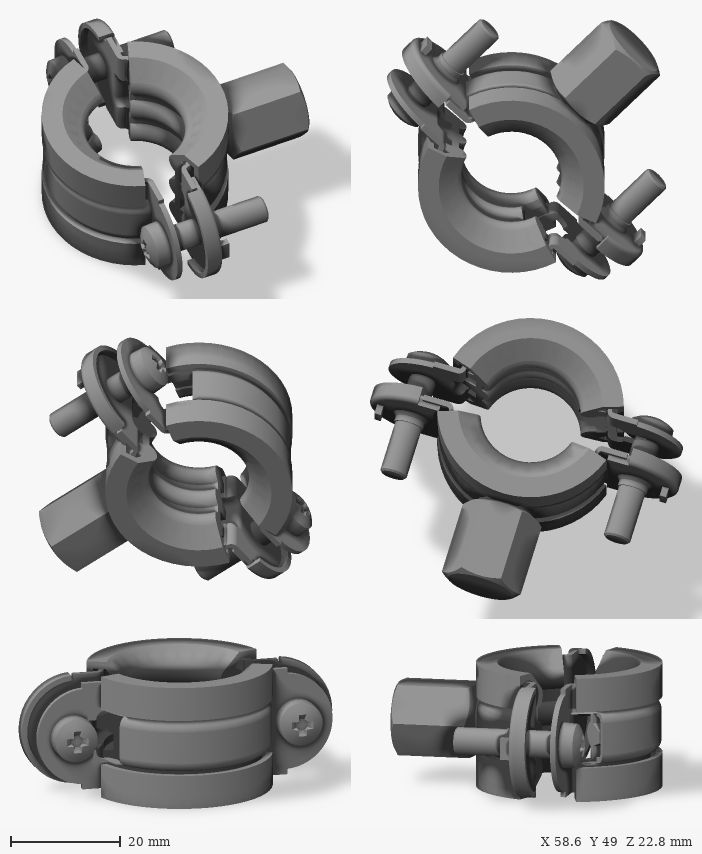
import cadquery as cq
import math


LINER_R = 17.0
LINER_HALF_HEIGHT = 11.42
LIP_R = 9.1
LINER_GROOVE_R = 10.7
LINER_BACK_R = 12.0
MOUTH_R = 13.2
BAND_INNER_R = 15.8
BAND_BOTTOM_Z = 5.2
LIP_START = (9.75, 8.35)
LIP_PEAK_Z = 6.7
LIP_END_Z = 4.5
MIDDLE_LIP_Z = 2.2
BACK_RIB_R = 15.1
BACK_RIB_TIP_Z = 1.1
BACK_RIB_ROOT_Z = 2.1
POCKET_TOP_Z = 10.1
STRAP_POCKET = [(13.85, 7.7), (12.3, 8.7), (13.6, POCKET_TOP_Z)]
UPPER_END_ANGLE = 19.0
LOWER_END_ANGLE = 17.3

SHEET = 1.0
STRAP_R = 14.85
STRAP_HALF_WIDTH = 10.0
BEAD_R = 16.8
BEAD_FLAT_HALF = 2.75
BEAD_HALF_WIDTH = 4.8
EAR_FACE_Y = 2.8
EAR_END_R = 9.0
EAR_ARC_X = 18.86
EAR_SHOULDER_X = 19.36
EAR_START_X = 13.4
EAR_BEND_R = 0.9
BEND_OVERLAP = 0.1
WINDOW_END_ANGLE = 34.0
WINDOW_HALF_WIDTH = 4.6
WINDOW_CORNER_R = 1.7
SCREW_SLOT_WIDTH = 5.8

NUT_FLATS = 13.0
NUT_TOP_Y = 32.0
NUT_BOTTOM_Y = 16.5
NUT_TOP_FACE_R = 6.1
NUT_BOTTOM_FACE_R = 5.0

SCREW_X = 21.25
SCREW_D = 5.0
SCREW_NECK_D = 4.6
SCREW_TIP_Y = 16.3
SCREW_TIP_CHAMFER = 0.35
SCREW_SHOULDER_Y = -2.4
HEAD_D = 8.38
HEAD_RIM_D = 8.0
HEAD_CYLINDER = 2.6
HEAD_DOME = 1.3
RECESS_DEPTH = 1.1
RECESS_TOP = (4.9, 1.6)
RECESS_FLOOR = (2.1, 0.95)
RECESS_CORE_D = 2.2

CAP_R = 10.2
CAP_WALL = 1.0
CAP_TIP_X = 29.31
CAP_ARC_X = CAP_TIP_X - CAP_R
CAP_END_X = 20.0
CAP_RIM_Y = 1.6
CAP_FLOOR = 0.95
CAP_EDGE_R = 0.85
TONGUE_END_X = 16.0
BOSS_D = 5.5
BOSS_BASE_D = 6.65
BOSS_FLARE = 0.7
BOSS_HEIGHT = 1.8
RIB_X = 27.11
RIB_THICKNESS = 1.2
RIB_LENGTH = 4.0

EAR_BACK_Y = EAR_FACE_Y + SHEET


def box(x0, x1, y0, y1, half_z):
    """Box between two X and two Y values, centred on Z = 0."""
    return (
        cq.Workplane("XY")
        .box(x1 - x0, y1 - y0, 2 * half_z)
        .translate(((x0 + x1) / 2, (y0 + y1) / 2, 0))
    )


def mirrored(part):
    """The part together with its mirror image across the YZ plane."""
    return part.union(part.mirror("YZ"))


def ring_sector(profile, start, sweep):
    """Revolve an (R, Z) profile about Z, from a start angle measured from +X."""
    solid = profile.revolve(sweep, (0, 0, 0), (0, 1, 0))
    centre = solid.val().Center()
    mid_angle = math.degrees(math.atan2(centre.y, centre.x))
    return solid.rotate((0, 0, 0), (0, 0, 1), start + sweep / 2 - mid_angle)


def liner_profile():
    """Liner section: three inner lips, a back rib and two outer bands."""
    strap_inner_r = STRAP_R - SHEET
    lip_start_r, lip_start_z = LIP_START
    half_back = [
        (BACK_RIB_R, BACK_RIB_TIP_Z),
        (LINER_BACK_R, BACK_RIB_ROOT_Z),
        (LINER_BACK_R, BAND_BOTTOM_Z),
        (strap_inner_r, BAND_BOTTOM_Z),
        *STRAP_POCKET,
        (BAND_INNER_R, POCKET_TOP_Z),
        (BAND_INNER_R, BAND_BOTTOM_Z),
        (LINER_R, BAND_BOTTOM_Z),
        (LINER_R, LINER_HALF_HEIGHT),
    ]
    lower_back = [(r, -z) for r, z in reversed(half_back)]

    return (
        cq.Workplane("XZ")
        .moveTo(MOUTH_R, LINER_HALF_HEIGHT)
        .lineTo(lip_start_r, lip_start_z)
        .threePointArc((LIP_R, LIP_PEAK_Z), (LINER_GROOVE_R, LIP_END_Z))
        .lineTo(LINER_GROOVE_R, MIDDLE_LIP_Z)
        .threePointArc((LIP_R, 0), (LINER_GROOVE_R, -MIDDLE_LIP_Z))
        .lineTo(LINER_GROOVE_R, -LIP_END_Z)
        .threePointArc((LIP_R, -LIP_PEAK_Z), (lip_start_r, -lip_start_z))
        .lineTo(MOUTH_R, -LINER_HALF_HEIGHT)
        .polyline(lower_back + half_back, includeCurrent=True)
        .close()
    )


def bead_disc(radius, half_width, corner):
    """Solid disc with rounded rims, the filled shape of the strap bead."""
    disc = cq.Workplane("XY").circle(radius).extrude(2 * half_width)
    disc = disc.translate((0, 0, -half_width))
    return disc.edges().fillet(corner)


def strap_half():
    """Upper half strap: beaded band with two ears."""
    corner = BEAD_HALF_WIDTH - BEAD_FLAT_HALF
    outer_bead = bead_disc(BEAD_R, BEAD_HALF_WIDTH, corner)
    inner_bead = bead_disc(BEAD_R - SHEET, BEAD_HALF_WIDTH - SHEET, corner - SHEET)
    band = cq.Workplane("XY").circle(STRAP_R).extrude(STRAP_HALF_WIDTH, both=True)
    bore = cq.Workplane("XY").circle(STRAP_R - SHEET).extrude(STRAP_HALF_WIDTH, both=True)
    upper_side = box(-BEAD_R, BEAD_R, EAR_FACE_Y, BEAD_R, STRAP_HALF_WIDTH)
    body = band.union(outer_bead).intersect(upper_side)
    body = body.union(mirrored(ear()))
    body = flared(body.cut(inner_bead)).cut(bore)
    return bent(body)


def flared(body):
    """Round the rim where the hollow bead opens on the ear face."""
    x, y, z = BEAD_R - SHEET, EAR_FACE_Y, BEAD_HALF_WIDTH - SHEET / 2
    margin = 0.01
    rim = cq.selectors.BoxSelector((-x, y - margin, -z), (x, y + margin, z))
    return body.edges(rim).fillet(EAR_BEND_R)


def bent(body):
    """Round the band-to-ear corners of a half strap, inside and outside the sheet."""
    outer_corner_x = math.sqrt(STRAP_R**2 - EAR_BACK_Y**2)
    corners = along_z_at(outer_corner_x, EAR_BACK_Y) + along_z_at(-outer_corner_x, EAR_BACK_Y)
    body = body.edges(corners).fillet(EAR_BEND_R - SHEET / 2)
    return body.cut(mirrored(inner_bend()))


def inner_bend():
    """Sliver that rounds the bore over into the ear face on the +X side."""
    radius = EAR_BEND_R + SHEET / 2
    corner_x = math.sqrt((STRAP_R - SHEET) ** 2 - EAR_FACE_Y**2)
    end_x = corner_x + radius - BEND_OVERLAP
    end_y = EAR_FACE_Y + radius
    axis = cq.Workplane("XY", origin=(end_x, end_y, 0))
    rounding = axis.circle(radius).extrude(STRAP_HALF_WIDTH, both=True)
    return box(corner_x - radius, end_x, EAR_FACE_Y, end_y, STRAP_HALF_WIDTH).cut(rounding)


def along_z_at(x, y):
    """Selector for the edges along Z through (x, y)."""
    margin = 0.05
    return cq.selectors.BoxSelector(
        (x - margin, y - margin, -STRAP_HALF_WIDTH),
        (x + margin, y + margin, STRAP_HALF_WIDTH),
    )


def ear():
    """Flat ear on the +X side with a round end and a square shoulder."""
    plate = box(EAR_START_X, EAR_SHOULDER_X, EAR_FACE_Y, EAR_BACK_Y, STRAP_HALF_WIDTH)
    disc = y_cylinder(EAR_ARC_X, 2 * EAR_END_R, EAR_FACE_Y, EAR_BACK_Y)
    end_x = EAR_ARC_X + EAR_END_R
    return plate.union(disc.intersect(box(EAR_SHOULDER_X, end_x, EAR_FACE_Y, EAR_BACK_Y, EAR_END_R)))


def y_cylinder(x, diameter, y0, y1):
    """Cylinder along Y between two Y values."""
    return (
        cq.Workplane("XZ", origin=(x, y0, 0))
        .circle(diameter / 2)
        .extrude(-(y1 - y0))
    )


def screw_slot():
    """Slot in the lower left ear that lets the screw swing out."""
    return box(-SCREW_X, -EAR_START_X, -EAR_BACK_Y, -EAR_FACE_Y, SCREW_SLOT_WIDTH / 2)


def release_window():
    """Opening at the lower left bead end, closed by a radial face."""
    slope = math.tan(math.radians(WINDOW_END_ANGLE))
    wedge = (
        cq.Workplane("XY")
        .polyline([(0, 0), (-BEAD_R, 0), (-BEAD_R, -BEAD_R * slope)])
        .close()
        .extrude(BEAD_HALF_WIDTH, both=True)
    )
    opening = box(-BEAD_R, 0, -BEAD_R, 0, WINDOW_HALF_WIDTH)
    return wedge.intersect(opening.edges("|Y and <X").fillet(WINDOW_CORNER_R))


def hex_nut():
    """Hex nut along +Y, its corners turned down at both ends."""
    corner_d = NUT_FLATS / math.cos(math.pi / 6)
    height = NUT_TOP_Y - NUT_BOTTOM_Y
    prism = (
        cq.Workplane("XZ", origin=(0, NUT_BOTTOM_Y, 0))
        .polygon(6, corner_d)
        .extrude(-height)
    )
    corner_r = corner_d / 2
    slope = math.tan(math.pi / 6)
    top_drop = (corner_r - NUT_TOP_FACE_R) * slope
    bottom_rise = (corner_r - NUT_BOTTOM_FACE_R) * slope
    turned = (
        cq.Workplane("XY")
        .polyline(
            [
                (0, NUT_BOTTOM_Y),
                (NUT_BOTTOM_FACE_R, NUT_BOTTOM_Y),
                (corner_r, NUT_BOTTOM_Y + bottom_rise),
                (corner_r, NUT_TOP_Y - top_drop),
                (NUT_TOP_FACE_R, NUT_TOP_Y),
                (0, NUT_TOP_Y),
            ]
        )
        .close()
        .revolve(360, (0, 0, 0), (0, 1, 0))
    )
    foot = y_cylinder(0, 2 * NUT_BOTTOM_FACE_R, BEAD_R - SHEET, NUT_BOTTOM_Y)
    return prism.intersect(turned).union(foot)


def screw():
    """Domed-head screw along Y with a cross recess."""
    r = SCREW_D / 2
    neck_r = SCREW_NECK_D / 2
    seat_y = -EAR_BACK_Y
    rim_y = seat_y - HEAD_CYLINDER
    dome_y = rim_y - HEAD_DOME
    rim_r = HEAD_RIM_D / 2
    sphere_r = (rim_r**2 + HEAD_DOME**2) / (2 * HEAD_DOME)
    mid_r = rim_r / 2
    mid_y = dome_y + sphere_r - math.sqrt(sphere_r**2 - mid_r**2)
    body = (
        cq.Workplane("XY")
        .moveTo(0, SCREW_TIP_Y)
        .lineTo(r - SCREW_TIP_CHAMFER, SCREW_TIP_Y)
        .lineTo(r, SCREW_TIP_Y - SCREW_TIP_CHAMFER)
        .lineTo(r, SCREW_SHOULDER_Y)
        .lineTo(neck_r, SCREW_SHOULDER_Y - (r - neck_r))
        .lineTo(neck_r, seat_y)
        .lineTo(HEAD_D / 2, seat_y)
        .lineTo(rim_r, rim_y)
        .threePointArc((mid_r, mid_y), (0, dome_y))
        .close()
        .revolve(360, (0, 0, 0), (0, 1, 0))
    )
    arm = (
        cq.Workplane("XZ", origin=(0, dome_y, 0))
        .rect(*RECESS_TOP)
        .workplane(offset=-RECESS_DEPTH)
        .rect(*RECESS_FLOOR)
        .loft()
    )
    crossed_arm = arm.rotate((0, 0, 0), (0, 1, 0), 90)
    core = y_cylinder(0, RECESS_CORE_D, dome_y, dome_y + RECESS_DEPTH)
    return body.cut(arm).cut(crossed_arm).cut(core).translate((SCREW_X, 0, 0))


def cap():
    """Retaining cap: rounded rim around the upper ear, boss, tongue and rib."""
    top_y = EAR_BACK_Y + CAP_FLOOR
    shell = y_cylinder(CAP_ARC_X, 2 * CAP_R, CAP_RIM_Y, top_y)
    shell = shell.faces(">Y").edges().fillet(CAP_EDGE_R)
    hollow = y_cylinder(CAP_ARC_X, 2 * (CAP_R - CAP_WALL), CAP_RIM_Y, EAR_BACK_Y)
    outer_side = box(CAP_END_X, CAP_TIP_X, CAP_RIM_Y, top_y, CAP_R)
    tongue = box(TONGUE_END_X, CAP_END_X, EAR_BACK_Y, top_y, EAR_END_R)
    boss = y_cylinder(SCREW_X, BOSS_D, EAR_BACK_Y, top_y + BOSS_HEIGHT)
    flare = (
        cq.Workplane("XZ", origin=(SCREW_X, top_y, 0))
        .circle(BOSS_BASE_D / 2)
        .workplane(offset=-BOSS_FLARE)
        .circle(BOSS_D / 2)
        .loft()
    )
    rib_half = RIB_THICKNESS / 2
    rib = box(RIB_X - rib_half, RIB_X + rib_half, EAR_BACK_Y, top_y + BOSS_HEIGHT, RIB_LENGTH / 2)
    return shell.cut(hollow).intersect(outer_side).union(tongue).union(boss).union(flare).union(rib)


upper_liner = ring_sector(liner_profile(), UPPER_END_ANGLE, 180 - 2 * UPPER_END_ANGLE)
lower_liner = ring_sector(liner_profile(), 180 + LOWER_END_ANGLE, 180 - 2 * LOWER_END_ANGLE)
lower_liner = lower_liner.cut(release_window())

upper_strap = strap_half()
lower_strap = strap_half().mirror("XZ").cut(screw_slot()).cut(release_window())

result = (
    upper_strap.union(upper_liner)
    .union(hex_nut())
    .union(mirrored(cap()))
    .union(mirrored(screw()))
    .union(lower_strap)
    .union(lower_liner)
)